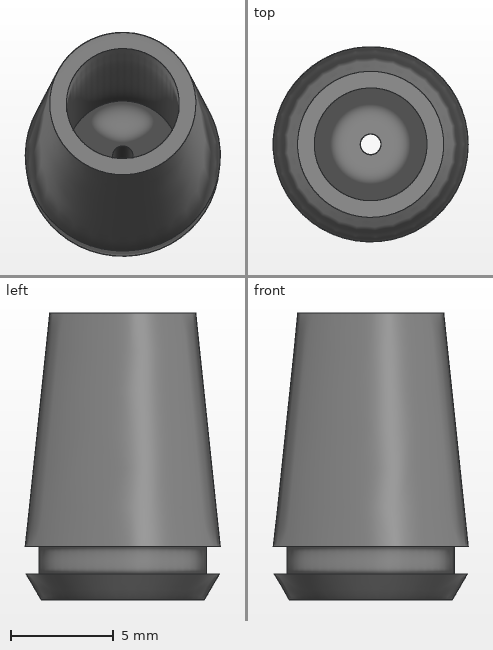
import cadquery as cq

total_height = 14.0
body_base_diameter = 9.52
body_top_diameter = 7.13
groove_diameter = 8.18
flange_diameter = 9.44
foot_diameter = 7.95
flange_height = 1.27
groove_height = 1.33
bore_diameter = 5.5
hole_diameter = 1.0

groove_top = flange_height + groove_height
floor_thickness = groove_top

body = (
    cq.Workplane("XZ")
    .moveTo(0, 0)
    .lineTo(foot_diameter / 2, 0)
    .lineTo(flange_diameter / 2, flange_height)
    .lineTo(groove_diameter / 2, flange_height)
    .lineTo(groove_diameter / 2, groove_top)
    .lineTo(body_base_diameter / 2, groove_top)
    .lineTo(body_top_diameter / 2, total_height)
    .lineTo(0, total_height)
    .close()
    .revolve(360, (0, 0, 0), (0, 1, 0))
)

bore = (
    cq.Workplane("XY")
    .workplane(offset=floor_thickness)
    .circle(bore_diameter / 2)
    .extrude(total_height - floor_thickness)
)

hole = cq.Workplane("XY").circle(hole_diameter / 2).extrude(total_height)

result = body.cut(bore).cut(hole)